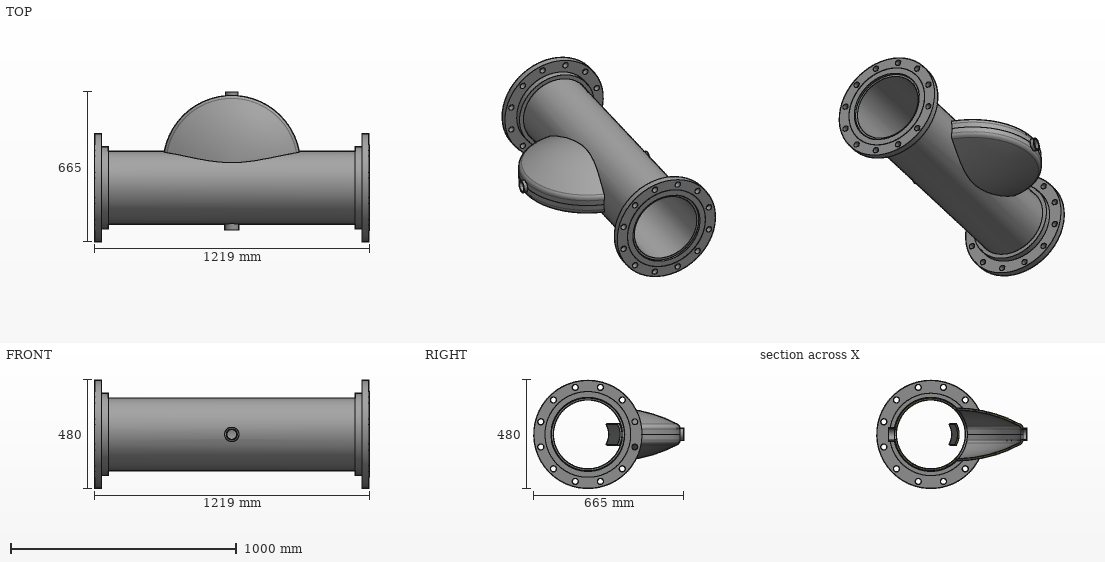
import cadquery as cq
import math

OVERALL_LENGTH = 1219.0
PIPE_RADIUS = 162.0
BORE_RADIUS = 152.0
PIPE_SETBACK = 10.0

FLANGE_RADIUS = 240.0
FLANGE_THICKNESS = 32.0
RAISED_FACE_RADIUS = 190.0
RAISED_FACE_HEIGHT = 1.0
HUB_RADIUS = 183.0
HUB_LENGTH = 29.0
FLANGE_BORE_RADIUS = 163.0
BOLT_CIRCLE_RADIUS = 216.0
BOLT_HOLE_DIAMETER = 25.0
BOLT_COUNT = 12

HEAD_CENTRE_Y = 105.0
HEAD_RADIUS = 305.0
CROWN_RADIUS = 628.0
KNUCKLE_RADIUS = 24.0
STRAIGHT_HEIGHT = 24.0
HEAD_WALL = PIPE_RADIUS - BORE_RADIUS

DRAIN_RADIUS = 32.0
DRAIN_BORE_RADIUS = 24.0
DRAIN_HOLE_RADIUS = 22.0
DRAIN_TIP_Y = -188.0
VENT_RADIUS = 28.0
VENT_BORE_RADIUS = 22.0
VENT_TIP_Y = 425.0

PLATE_RADIUS = 99.0
PLATE_WALL = PIPE_RADIUS - BORE_RADIUS
PLATE_ANGLE = 60.0
PLATE_LENGTH = 293.0
PLATE_TILT = 10.0
PLATE_CREST_Y = 127.0


def cylinder_x(radius, start, length):
    """Solid cylinder on the X axis."""
    axis = cq.Vector(1, 0, 0)
    solid = cq.Solid.makeCylinder(radius, length, cq.Vector(start, 0, 0), axis)
    return cq.Workplane(obj=solid)


def cylinder_y(radius, start, end):
    """Solid cylinder along Y through the origin, from y = start to y = end."""
    axis = cq.Vector(0, 1, 0)
    solid = cq.Solid.makeCylinder(radius, end - start, cq.Vector(0, start, 0), axis)
    return cq.Workplane(obj=solid)


def chamber_blank(offset):
    """Solid lens shape of both heads together, with its surface moved inwards by offset."""
    skirt_radius = HEAD_RADIUS - offset
    crown_radius = CROWN_RADIUS - offset
    knuckle_radius = KNUCKLE_RADIUS - offset
    knuckle_centre = HEAD_RADIUS - KNUCKLE_RADIUS
    centre_distance = CROWN_RADIUS - KNUCKLE_RADIUS
    crown_angle = math.asin(knuckle_centre / centre_distance)
    mid_knuckle_angle = (math.pi / 2 + crown_angle) / 2
    crown_centre_z = STRAIGHT_HEIGHT - centre_distance * math.cos(crown_angle)

    def knuckle_point(angle, side):
        across = knuckle_centre + knuckle_radius * math.sin(angle)
        return across, side * (STRAIGHT_HEIGHT + knuckle_radius * math.cos(angle))

    def crown_point(angle, side):
        return crown_radius * math.sin(angle), side * (crown_centre_z + crown_radius * math.cos(angle))

    return (
        cq.Workplane("YZ")
        .moveTo(*crown_point(0, -1))
        .threePointArc(crown_point(crown_angle / 2, -1), crown_point(crown_angle, -1))
        .threePointArc(knuckle_point(mid_knuckle_angle, -1), (skirt_radius, -STRAIGHT_HEIGHT))
        .lineTo(skirt_radius, STRAIGHT_HEIGHT)
        .threePointArc(knuckle_point(mid_knuckle_angle, 1), knuckle_point(crown_angle, 1))
        .threePointArc(crown_point(crown_angle / 2, 1), crown_point(0, 1))
        .close()
        .revolve(360, (0, 0), (0, 1))
        .translate((0, HEAD_CENTRE_Y, 0))
    )


def box_behind_axis(bottom, top):
    """Large block on the +Y side of the pipe axis, from z = bottom to z = top."""
    return (
        cq.Workplane("XY")
        .workplane(offset=bottom)
        .rect(OVERALL_LENGTH, OVERALL_LENGTH)
        .extrude(top - bottom)
        .translate((0, OVERALL_LENGTH / 2, 0))
    )


chamber_outside = chamber_blank(0)
chamber_cavity = chamber_blank(HEAD_WALL)
pipe_envelope = cylinder_x(PIPE_RADIUS, -OVERALL_LENGTH / 2, OVERALL_LENGTH)


def make_pipe():
    length = OVERALL_LENGTH - 2 * PIPE_SETBACK
    bore = cylinder_x(BORE_RADIUS, -length / 2, length)
    chamber_opening = chamber_cavity.intersect(box_behind_axis(-PIPE_RADIUS, PIPE_RADIUS))
    drain_hole = cylinder_y(DRAIN_HOLE_RADIUS, -PIPE_RADIUS, 0)
    return (
        cylinder_x(PIPE_RADIUS, -length / 2, length)
        .cut(bore)
        .cut(chamber_opening)
        .cut(drain_hole)
    )


def make_flange(side):
    """Flange at the -X end (side = -1) or the +X end (side = 1)."""
    face = OVERALL_LENGTH / 2
    plate_front = face - RAISED_FACE_HEIGHT
    plate_back = plate_front - FLANGE_THICKNESS
    hub_end = plate_back - HUB_LENGTH
    bolt_holes = (
        cq.Workplane("YZ")
        .workplane(offset=plate_back)
        .polarArray(BOLT_CIRCLE_RADIUS, 180 / BOLT_COUNT, 360, BOLT_COUNT)
        .circle(BOLT_HOLE_DIAMETER / 2)
        .extrude(FLANGE_THICKNESS)
    )
    flange = (
        cylinder_x(FLANGE_RADIUS, plate_back, FLANGE_THICKNESS)
        .union(cylinder_x(RAISED_FACE_RADIUS, plate_front, RAISED_FACE_HEIGHT))
        .union(cylinder_x(HUB_RADIUS, hub_end, HUB_LENGTH))
        .cut(cylinder_x(FLANGE_BORE_RADIUS, hub_end, face - hub_end))
        .cut(bolt_holes)
    )
    return flange if side > 0 else flange.mirror("YZ")


def make_head():
    """Upper hollow head: open at the joint plane and trimmed to the pipe surface."""
    vent_hole = cylinder_y(VENT_BORE_RADIUS, HEAD_CENTRE_Y, VENT_TIP_Y)
    return (
        chamber_outside.cut(chamber_cavity)
        .intersect(box_behind_axis(0, CROWN_RADIUS))
        .cut(pipe_envelope)
        .cut(vent_hole)
    )


def make_nozzle(radius, bore_radius, tip_y, seat):
    """Tube along Y from the tip to the surface of the seat solid."""
    start, end = sorted((0, tip_y))
    tube = cylinder_y(radius, start, end).cut(cylinder_y(bore_radius, start, end))
    return tube.cut(seat)


def make_deflector():
    """Tube sector with its crest towards +Y, sloping outwards in the +X direction."""
    half_angle = math.radians(PLATE_ANGLE / 2)
    inner_radius = PLATE_RADIUS - PLATE_WALL

    def rim_point(radius, angle):
        return radius * math.cos(angle), radius * math.sin(angle)

    return (
        cq.Workplane("YZ")
        .moveTo(*rim_point(PLATE_RADIUS, -half_angle))
        .threePointArc((PLATE_RADIUS, 0), rim_point(PLATE_RADIUS, half_angle))
        .lineTo(*rim_point(inner_radius, half_angle))
        .threePointArc((inner_radius, 0), rim_point(inner_radius, -half_angle))
        .close()
        .extrude(PLATE_LENGTH / 2, both=True)
        .translate((0, -PLATE_RADIUS, 0))
        .rotate((0, 0, 0), (0, 0, 1), PLATE_TILT)
        .translate((0, PLATE_CREST_Y, 0))
    )


pipe = make_pipe()
flanges = [make_flange(side) for side in (-1, 1)]
upper_head = make_head()
heads = [upper_head, upper_head.mirror("XY")]
drain_nozzle = make_nozzle(DRAIN_RADIUS, DRAIN_BORE_RADIUS, DRAIN_TIP_Y, pipe_envelope)
vent_nozzle = make_nozzle(VENT_RADIUS, VENT_BORE_RADIUS, VENT_TIP_Y, chamber_outside)
deflector = make_deflector()

result = cq.Compound.makeCompound([
    pipe.val(),
    *[flange.val() for flange in flanges],
    *[head.val() for head in heads],
    drain_nozzle.val(),
    vent_nozzle.val(),
    deflector.val(),
])